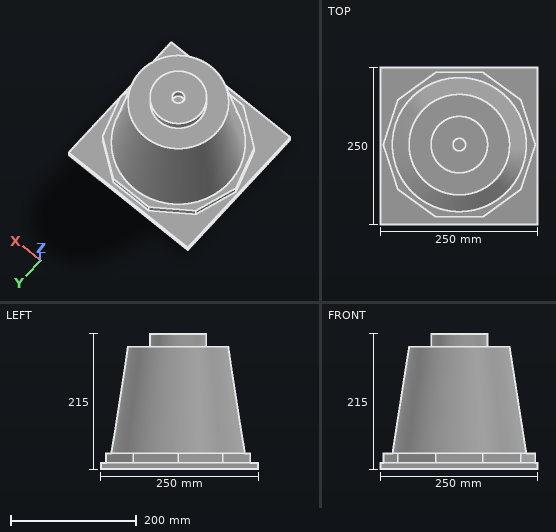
import cadquery as cq
import math

plate_side = 250.0
plate_height = 10.0

axis_x = 0.5
axis_y = 2.2

flange_sides = 10
flange_across_flats = 230.0
flange_height = 15.0

body_bottom_diameter = 213.2
body_top_diameter = 160.0
body_height = 170.0

boss_diameter = 90.0
boss_height = 20.0
hole_diameter = 20.0
hole_depth = boss_height

flange_base = plate_height
body_base = flange_base + flange_height
boss_base = body_base + body_height
top = boss_base + boss_height


def plane_at(height):
    """Horizontal workplane centred on the stack axis."""
    return cq.Workplane("XY", origin=(axis_x, axis_y, height))


plate = cq.Workplane("XY").rect(plate_side, plate_side).extrude(plate_height)

flange_across_corners = flange_across_flats / math.cos(math.pi / flange_sides)
flange = plane_at(flange_base).polygon(flange_sides, flange_across_corners).extrude(flange_height)

body = (
    plane_at(body_base)
    .circle(body_bottom_diameter / 2)
    .workplane(offset=body_height)
    .circle(body_top_diameter / 2)
    .loft(ruled=True)
)

boss = plane_at(boss_base).circle(boss_diameter / 2).extrude(boss_height)
hole = plane_at(top).circle(hole_diameter / 2).extrude(-hole_depth)

result = plate.union(flange).union(body).union(boss).cut(hole)